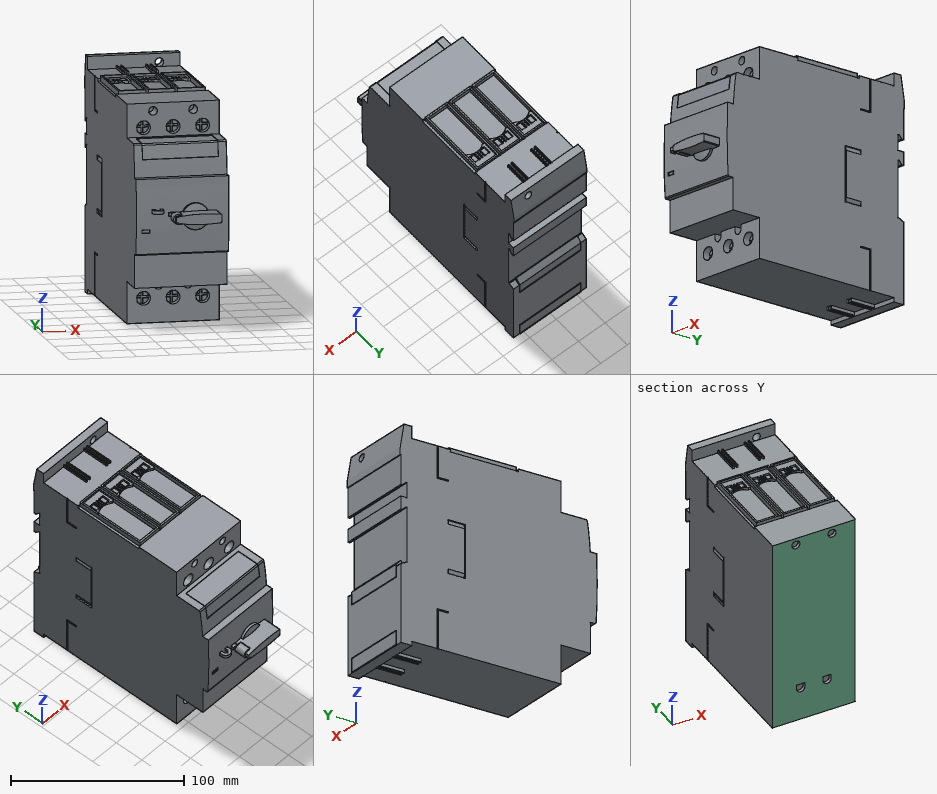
import cadquery as cq

WIDTH = 54.8
HEIGHT = 140.0
TOTAL_DEPTH = 149.3
HALF_WIDTH = WIDTH / 2
EMBED = 1.0
POLE_PITCH = 17.5
POLES = (-POLE_PITCH, 0, POLE_PITCH)

BACK_DEPTH = 0.5
FLANGE_TOP_BACK = 2.7
FLANGE_DEPTH = 8.1
BODY_BOTTOM = 2.7
BODY_TOP = 132.2
BODY_FRONT = 112.2
CENTRE_BOTTOM = 27.6
CENTRE_TOP = 112.3
LOWER_FRONT = 132.7
PANEL_BOTTOM = 47.5
PANEL_STRIP_BOTTOM = 87.6
PANEL_TOP = 92.5
PANEL_FRONT = 137.0
PANEL_LIP_FRONT = 136.6
PANEL_LIP = 0.7
PANEL_CREST, PANEL_CREST_Z = 137.35, 70.0
SLOPE_TOP_FRONT = 130.5
SLOPE_MIDDLE_FRONT = 131.7
SLOPE_BOTTOM_FRONT = 132.5
TOP_EDGE_CHAMFER = 0.8

RAIL_DEPTH = 4.9
TOP_PAD_LOW, TOP_PAD_HIGH = 119.8, 124.4
UPPER_HOOK_TIP, UPPER_HOOK_ROOT = 100.9, 103.2
LUG_TOP, LUG_TIP, LUG_ROOT = 93.5, 85.2, 87.5
HOOK_TIP_DEPTH, HOOK_ROOT_DEPTH = 2.0, 4.2
CLAW_BASE, CLAW_SHOULDER = 50.5, 52.3
PAD_WIDTH = 46.0
FOOT_PAD_FRONT = 1.5
FOOT_PAD_BOTTOM, FOOT_PAD_TOP = 0.3, 9.3
SLIDER_BOTTOM, SLIDER_TOP = 43.5, 51.4
SLIDER_TIP_DEPTH, SLIDER_TIP_TOP = 3.3, 54.8
SLIDER_FRONT, SLIDER_SHOULDER = 4.2, 54.0

BASE_FRONT = 26.0
BASE_STEP_FRONT = 33.5
COVER_JOINT = 106.3
TONGUE_FRONT = 45.0
TONGUE_BOTTOM, TONGUE_TOP = 52.7, 87.0
TONGUE_BEVEL = 2.8
TONGUE_BEVEL_DEPTH = 1.0
GROOVE_WIDTH = 0.6
GROOVE_DEPTH = 0.5

RIB_WIDTH = 1.1
RIB_BEVEL = 0.4
RIB_PAIR_CENTRE = 8.7
RIB_SPACING = 2.6
TOP_RIB_HEIGHT = 1.8
BOTTOM_RIB_HEIGHT = 2.4

FRAME_BACK, FRAME_FRONT = 35.0, 82.1
TROUGH_FRONT = 82.5
TROUGH_FLOOR = 130.6
FRAME_TOP = 134.0
FRAME_HALF_WIDTH = 7.9
OUTER_FRAME_EDGE = 25.75
OUTER_FRAME_INNER_EDGE = 9.35
FRAME_SIDE_WALL = 1.1
FRAME_BACK_WALL = 1.0
FRAME_FRONT_WALL = 1.3
FRAME_FLOOR = 131.0
SHELF_TOP = 132.6
SHELF_FRONT = 47.3
SHELF_ARCH_HALF = 5.6
SHELF_ARCH_RISE = 2.1
CLAMP_BACK, CLAMP_FRONT = 40.3, 45.3
CLAMP_WIDTH = 10.9
CLAMP_FLOOR = 131.3
CLAMP_STEP_TOP = 132.0
CLAMP_STEP_HALF = 2.3
CLAMP_RIB_INNER, CLAMP_RIB_OUTER = 0.4, 1.6

FLANGE_HOLE_X, FLANGE_HOLE_Z = 15.1, 134.75
SMALL_HOLE_DIAMETER = 5.0
UPPER_SMALL_HOLE_X, UPPER_SMALL_HOLE_Z = 11.9, 127.5
LOWER_SMALL_HOLE_X, LOWER_SMALL_HOLE_Z = 8.7, 24.8
UPPER_SCREW_Z, LOWER_SCREW_Z = 117.8, 17.3
SCREW_DIAMETER = 8.0
SCREW_SLOT_WIDTH = 1.3
SCREW_SLOT_DEPTH = 1.5
SCREW_HOLE_DEPTH = 4.6
SMALL_HOLE_DEPTH = 10.0

LABEL_WIDTH = 44.9
LABEL_BACK = 114.9
LABEL_BOTTOM = 103.0
LABEL_TOP_FRONT, LABEL_BOTTOM_FRONT = 130.3, 131.4
LABEL_RECESS = 0.3
LABEL_LEDGE = 0.6

BUTTON_X, BUTTON_Z = -21.65, 61.6
BUTTON_WIDTH, BUTTON_HEIGHT, BUTTON_DEPTH = 4.7, 1.9, 0.5
BUTTON_CLEARANCE = 1.0
EYE_X, EYE_Z = -14.9, 73.5
EYE_RADIUS, EYE_HOLE_RADIUS, EYE_THICKNESS = 3.3, 1.45, 2.1
EYE_CENTRE_DEPTH = 139.1
PANEL_ROOT = PANEL_FRONT - EMBED

KNOB_X, KNOB_Z = 7.4, 69.7
KNOB_RADIUS, KNOB_RIM, KNOB_CROWN = 7.9, 139.0, 139.8
DOME_RADIUS = 7.4
LEVER_Z = 70.0
LEVER_LEFT, LEVER_RIGHT = -13.6, 13.2
LEVER_HALF = 3.1
LEVER_LEFT_HALF, LEVER_LEFT_TIP_HALF, LEVER_LEFT_TAPER = 2.1, 1.5, 1.5
LEVER_RIGHT_HALF, LEVER_CORNER = 2.6, 0.5
HUB_X, HUB_RADIUS, HUB_FLAT = -4.5, 3.0, 2.0
HUB_BACK, HUB_FRONT = 139.6, 146.8
POINTER_LEFT, POINTER_RIGHT = -8.4, -5.0
POINTER_BOTTOM, POINTER_TOP, POINTER_FRONT = 70.4, 72.5, 139.3


def block(x_range, depth_range, z_range):
    """Box between two X, two depth and two Z values."""
    x0, x1 = x_range
    d0, d1 = depth_range
    z0, z1 = z_range
    return cq.Workplane("XY").box(x1 - x0, d1 - d0, z1 - z0, centered=False).translate((x0, -d1, z0))


def wide_block(width, depth_range, z_range):
    """Box centred on X = 0."""
    return block((-width / 2, width / 2), depth_range, z_range)


def side_prism(points, width):
    """Prism along X from (depth, z) corners, centred on X = 0."""
    corners = [(-depth, z) for depth, z in points]
    return cq.Workplane("YZ").polyline(corners).close().extrude(width / 2, both=True)


def face_plane(depth):
    """Plane at a depth, with local Y along Z and extrusion towards the operator."""
    return cq.Workplane("XZ", origin=(0, -depth, 0))


def make_body():
    """Full-width outline with rail hooks at the back and the stepped front."""
    slope_bulge = (-SLOPE_MIDDLE_FRONT, (CENTRE_TOP + PANEL_TOP) / 2)
    panel_bulge = (-PANEL_CREST, PANEL_CREST_Z)
    outline = (
        cq.Workplane("YZ")
        .moveTo(-FLANGE_TOP_BACK, HEIGHT)
        .lineTo(-FLANGE_DEPTH, HEIGHT)
        .lineTo(-FLANGE_DEPTH, BODY_TOP)
        .lineTo(-BODY_FRONT, BODY_TOP)
        .lineTo(-BODY_FRONT, CENTRE_TOP)
        .lineTo(-SLOPE_TOP_FRONT + TOP_EDGE_CHAMFER, CENTRE_TOP)
        .lineTo(-SLOPE_TOP_FRONT, CENTRE_TOP - TOP_EDGE_CHAMFER)
        .threePointArc(slope_bulge, (-SLOPE_BOTTOM_FRONT, PANEL_TOP))
        .lineTo(-PANEL_FRONT, PANEL_TOP)
        .lineTo(-PANEL_FRONT, PANEL_STRIP_BOTTOM)
        .threePointArc(panel_bulge, (-PANEL_LIP_FRONT, PANEL_BOTTOM + PANEL_LIP))
        .lineTo(-PANEL_LIP_FRONT + PANEL_LIP, PANEL_BOTTOM)
        .lineTo(-LOWER_FRONT, PANEL_BOTTOM)
        .lineTo(-LOWER_FRONT, CENTRE_BOTTOM)
        .lineTo(-BODY_FRONT, CENTRE_BOTTOM)
        .lineTo(-BODY_FRONT, BODY_BOTTOM)
        .lineTo(-FLANGE_DEPTH, BODY_BOTTOM)
        .lineTo(-FLANGE_DEPTH, 0)
        .lineTo(-BACK_DEPTH, 0)
        .lineTo(-BACK_DEPTH, CLAW_BASE)
        .lineTo(-HOOK_ROOT_DEPTH, CLAW_SHOULDER)
        .lineTo(-RAIL_DEPTH, CLAW_SHOULDER)
        .lineTo(-RAIL_DEPTH, LUG_ROOT)
        .lineTo(-HOOK_ROOT_DEPTH, LUG_ROOT)
        .lineTo(-HOOK_TIP_DEPTH, LUG_TIP)
        .lineTo(-BACK_DEPTH, LUG_TIP)
        .lineTo(-BACK_DEPTH, LUG_TOP)
        .lineTo(-RAIL_DEPTH, LUG_TOP)
        .lineTo(-RAIL_DEPTH, UPPER_HOOK_ROOT)
        .lineTo(-HOOK_ROOT_DEPTH, UPPER_HOOK_ROOT)
        .lineTo(-HOOK_TIP_DEPTH, UPPER_HOOK_TIP)
        .lineTo(-BACK_DEPTH, UPPER_HOOK_TIP)
        .lineTo(-BACK_DEPTH, TOP_PAD_LOW)
        .lineTo(0, TOP_PAD_LOW)
        .lineTo(0, TOP_PAD_HIGH)
        .close()
    )
    return outline.extrude(HALF_WIDTH, both=True)


def make_rail_slider():
    """Foot pad and spring slider whose tip grips the lower rail edge."""
    foot_pad = wide_block(PAD_WIDTH, (0, FOOT_PAD_FRONT), (FOOT_PAD_BOTTOM, FOOT_PAD_TOP))
    slider_outline = [
        (0, SLIDER_BOTTOM),
        (0, SLIDER_TOP),
        (SLIDER_TIP_DEPTH, SLIDER_TIP_TOP),
        (SLIDER_FRONT, SLIDER_SHOULDER),
        (SLIDER_FRONT, SLIDER_BOTTOM),
    ]
    return foot_pad.union(side_prism(slider_outline, PAD_WIDTH))


def make_barrier_rib(x, root, tip):
    """Rib centred on x from root to tip height, bevelled along both tip edges."""
    outward = 1 if tip > root else -1
    bevel_start = tip - outward * RIB_BEVEL
    half = RIB_WIDTH / 2
    corners = [
        (x - half, root - outward * EMBED),
        (x - half, bevel_start),
        (x - half + RIB_BEVEL, tip),
        (x + half - RIB_BEVEL, tip),
        (x + half, bevel_start),
        (x + half, root - outward * EMBED),
    ]
    return face_plane(FLANGE_DEPTH).polyline(corners).close().extrude(BASE_FRONT - FLANGE_DEPTH)


def make_barrier_ribs():
    """Pairs of ribs between the poles, above and below the base."""
    ribs = cq.Workplane("XY")
    for pair_x in (-RIB_PAIR_CENTRE, RIB_PAIR_CENTRE):
        for x in (pair_x - RIB_SPACING / 2, pair_x + RIB_SPACING / 2):
            ribs = ribs.union(make_barrier_rib(x, BODY_TOP, BODY_TOP + TOP_RIB_HEIGHT))
            ribs = ribs.union(make_barrier_rib(x, BODY_BOTTOM, BODY_BOTTOM - BOTTOM_RIB_HEIGHT))
    return ribs


def make_joint_grooves():
    """Joint lines on both sides, with bevelled gaps above and below the base tongue."""
    low = (CENTRE_BOTTOM, CENTRE_BOTTOM + GROOVE_WIDTH)
    high = (CENTRE_TOP - GROOVE_WIDTH, CENTRE_TOP)
    upright = (BASE_FRONT, BASE_FRONT + GROOVE_WIDTH)
    grooves = cq.Workplane("XY")
    inner = HALF_WIDTH - GROOVE_DEPTH
    for x_range in ((-HALF_WIDTH, -inner), (inner, HALF_WIDTH)):
        grooves = grooves.union(block(x_range, upright, (BODY_BOTTOM, low[1])))
        grooves = grooves.union(block(x_range, upright, (high[0], BODY_TOP)))
        for z_range in (low, high):
            grooves = grooves.union(block(x_range, (BASE_FRONT, BASE_STEP_FRONT), z_range))
        tongue_gap = (TONGUE_FRONT, TONGUE_FRONT + GROOVE_WIDTH)
        grooves = grooves.union(block(x_range, tongue_gap, (TONGUE_BOTTOM, TONGUE_TOP)))
    bevel_plane = face_plane(BASE_STEP_FRONT)
    for side in (-1, 1):
        deep = side * (HALF_WIDTH - TONGUE_BEVEL_DEPTH)
        edge = side * HALF_WIDTH
        for wall, inward in ((TONGUE_TOP, -1), (TONGUE_BOTTOM, 1)):
            corners = [(edge, wall), (deep, wall), (edge, wall + inward * TONGUE_BEVEL)]
            length = TONGUE_FRONT - BASE_STEP_FRONT
            grooves = grooves.union(bevel_plane.polyline(corners).close().extrude(length))
    return grooves


def make_terminal_frame(x_range, pole_x):
    """Open frame with an arched shelf at the back and a clamp sunk into it."""
    frame = block(x_range, (FRAME_BACK, FRAME_FRONT), (TROUGH_FLOOR - EMBED, FRAME_TOP))
    inside = (x_range[0] + FRAME_SIDE_WALL, x_range[1] - FRAME_SIDE_WALL)
    inside_back = FRAME_BACK + FRAME_BACK_WALL
    opening = block(inside, (inside_back, FRAME_FRONT - FRAME_FRONT_WALL), (FRAME_FLOOR, FRAME_TOP))
    middle = (inside[0] + inside[1]) / 2
    shelf = (
        cq.Workplane("XY", origin=(0, 0, FRAME_FLOOR))
        .moveTo(inside[0], -inside_back)
        .lineTo(inside[0], -SHELF_FRONT)
        .lineTo(middle - SHELF_ARCH_HALF, -SHELF_FRONT)
        .threePointArc((middle, -SHELF_FRONT + SHELF_ARCH_RISE), (middle + SHELF_ARCH_HALF, -SHELF_FRONT))
        .lineTo(inside[1], -SHELF_FRONT)
        .lineTo(inside[1], -inside_back)
        .close()
        .extrude(SHELF_TOP - FRAME_FLOOR)
    )
    clamp_x = (pole_x - CLAMP_WIDTH / 2, pole_x + CLAMP_WIDTH / 2)
    clamp_depths = (CLAMP_BACK, CLAMP_FRONT)
    frame = frame.cut(opening.cut(shelf))
    frame = frame.cut(block(clamp_x, clamp_depths, (CLAMP_FLOOR, SHELF_TOP)))
    step_x = (pole_x - CLAMP_STEP_HALF, pole_x + CLAMP_STEP_HALF)
    frame = frame.union(block(step_x, clamp_depths, (CLAMP_FLOOR, CLAMP_STEP_TOP)))
    left_rib = (pole_x - CLAMP_RIB_OUTER, pole_x - CLAMP_RIB_INNER)
    right_rib = (pole_x + CLAMP_RIB_INNER, pole_x + CLAMP_RIB_OUTER)
    for rib_x in (left_rib, right_rib):
        frame = frame.union(block(rib_x, clamp_depths, (CLAMP_STEP_TOP, SHELF_TOP)))
    return frame


def add_terminal_frames(body):
    """Sinks a trough across the top face and stands one frame per pole in it."""
    body = body.cut(wide_block(WIDTH, (FRAME_BACK, TROUGH_FRONT), (TROUGH_FLOOR, BODY_TOP)))
    frame_spans = (
        (-OUTER_FRAME_EDGE, -OUTER_FRAME_INNER_EDGE),
        (-FRAME_HALF_WIDTH, FRAME_HALF_WIDTH),
        (OUTER_FRAME_INNER_EDGE, OUTER_FRAME_EDGE),
    )
    for x_range, pole_x in zip(frame_spans, POLES):
        body = body.union(make_terminal_frame(x_range, pole_x))
    return body


def make_screw_hole(x, z):
    """Access hole that leaves a cross-slotted screw head at its floor."""
    slot_floor = BODY_FRONT - SCREW_HOLE_DEPTH - SCREW_SLOT_DEPTH
    head_plane = face_plane(slot_floor).center(x, z)
    head = head_plane.circle(SCREW_DIAMETER / 2).extrude(SCREW_SLOT_DEPTH)
    level_slot = head_plane.rect(SCREW_DIAMETER, SCREW_SLOT_WIDTH).extrude(SCREW_SLOT_DEPTH)
    upright_slot = head_plane.rect(SCREW_SLOT_WIDTH, SCREW_DIAMETER).extrude(SCREW_SLOT_DEPTH)
    access = face_plane(BODY_FRONT - SCREW_HOLE_DEPTH).center(x, z)
    hole = access.circle(SCREW_DIAMETER / 2).extrude(SCREW_HOLE_DEPTH)
    return hole.union(level_slot.union(upright_slot).intersect(head))


def cut_holes(body):
    """Flange hole, test holes and screw access holes."""
    radius = SMALL_HOLE_DIAMETER / 2
    body = body.cut(face_plane(0).center(FLANGE_HOLE_X, FLANGE_HOLE_Z).circle(radius).extrude(FLANGE_DEPTH))
    floor = face_plane(BODY_FRONT - SMALL_HOLE_DEPTH)
    for side in (-1, 1):
        upper = floor.center(side * UPPER_SMALL_HOLE_X, UPPER_SMALL_HOLE_Z)
        body = body.cut(upper.circle(radius).extrude(SMALL_HOLE_DEPTH))
        x = side * LOWER_SMALL_HOLE_X
        lower = floor.center(x, LOWER_SMALL_HOLE_Z)
        body = body.cut(lower.circle(radius).extrude(SMALL_HOLE_DEPTH))
        depths = (BODY_FRONT - SMALL_HOLE_DEPTH, BODY_FRONT)
        body = body.cut(block((x - radius, x + radius), depths, (LOWER_SMALL_HOLE_Z, CENTRE_BOTTOM)))
    for x in POLES:
        for z in (UPPER_SCREW_Z, LOWER_SCREW_Z):
            body = body.cut(make_screw_hole(x, z))
    return body


def make_label_recess():
    """Space in front of and above the flat label plate."""
    plate_top = CENTRE_TOP - LABEL_RECESS
    outline = [
        (LABEL_BACK, CENTRE_TOP),
        (LABEL_BACK, plate_top),
        (LABEL_TOP_FRONT - TOP_EDGE_CHAMFER, plate_top),
        (LABEL_TOP_FRONT, plate_top - TOP_EDGE_CHAMFER),
        (LABEL_BOTTOM_FRONT, LABEL_BOTTOM),
        (LOWER_FRONT, LABEL_BOTTOM - LABEL_LEDGE),
        (LOWER_FRONT, CENTRE_TOP),
    ]
    return side_prism(outline, LABEL_WIDTH)


def make_button_recess():
    """Shallow rectangular window low on the front panel."""
    plane = face_plane(PANEL_FRONT - BUTTON_DEPTH).center(BUTTON_X, BUTTON_Z)
    return plane.rect(BUTTON_WIDTH, BUTTON_HEIGHT).extrude(BUTTON_DEPTH + BUTTON_CLEARANCE)


def eye_outline(radius, bottom):
    """U-shaped prism that starts inside the panel."""
    return (
        cq.Workplane("XY", origin=(EYE_X, 0, bottom))
        .moveTo(-radius, -PANEL_ROOT)
        .lineTo(-radius, -EYE_CENTRE_DEPTH)
        .threePointArc((0, -EYE_CENTRE_DEPTH - radius), (radius, -EYE_CENTRE_DEPTH))
        .lineTo(radius, -PANEL_ROOT)
        .close()
        .extrude(EYE_THICKNESS)
    )


def make_eye():
    """Sealing eye that stands out from the panel."""
    bottom = EYE_Z - EYE_THICKNESS / 2
    return eye_outline(EYE_RADIUS, bottom).cut(eye_outline(EYE_HOLE_RADIUS, bottom))


def make_handle():
    """Domed knob with a lens-shaped lever, a round-backed hub at its end and a pointer."""
    knob = (
        cq.Workplane("XY")
        .moveTo(0, -PANEL_ROOT)
        .lineTo(KNOB_RADIUS, -PANEL_ROOT)
        .lineTo(KNOB_RADIUS, -KNOB_RIM)
        .lineTo(DOME_RADIUS, -KNOB_RIM)
        .threePointArc((DOME_RADIUS / 2, -KNOB_CROWN + (KNOB_CROWN - KNOB_RIM) / 4), (0, -KNOB_CROWN))
        .close()
        .revolve(360, (0, 0), (0, 1))
        .translate((KNOB_X, 0, KNOB_Z))
    )
    left = LEVER_LEFT + LEVER_LEFT_TAPER
    right = LEVER_RIGHT - LEVER_CORNER
    lever = (
        face_plane(PANEL_ROOT)
        .center(KNOB_X, LEVER_Z)
        .moveTo(LEVER_LEFT, -LEVER_LEFT_TIP_HALF)
        .lineTo(left, -LEVER_LEFT_HALF)
        .threePointArc((0, -LEVER_HALF), (right, -LEVER_RIGHT_HALF))
        .lineTo(LEVER_RIGHT, -LEVER_RIGHT_HALF + LEVER_CORNER)
        .lineTo(LEVER_RIGHT, LEVER_RIGHT_HALF - LEVER_CORNER)
        .lineTo(right, LEVER_RIGHT_HALF)
        .threePointArc((0, LEVER_HALF), (left, LEVER_LEFT_HALF))
        .lineTo(LEVER_LEFT, LEVER_LEFT_TIP_HALF)
        .close()
        .extrude(TOTAL_DEPTH - PANEL_ROOT)
    )
    hub_plane = face_plane(HUB_BACK).center(HUB_X, LEVER_Z)
    hub = (
        hub_plane.moveTo(HUB_FLAT, -HUB_RADIUS)
        .lineTo(HUB_FLAT, HUB_RADIUS)
        .lineTo(0, HUB_RADIUS)
        .threePointArc((-HUB_RADIUS, 0), (0, -HUB_RADIUS))
        .close()
        .extrude(HUB_FRONT - HUB_BACK)
    )
    pointer = block((POINTER_LEFT, POINTER_RIGHT), (PANEL_ROOT, POINTER_FRONT), (POINTER_BOTTOM, POINTER_TOP))
    return knob.union(lever).union(hub).union(pointer)


def split_at_joints(body):
    """One solid whose faces stay divided where base, housing and cover meet."""
    base_zone = wide_block(WIDTH, (0, BASE_FRONT), (0, HEIGHT))
    base_zone = base_zone.union(wide_block(WIDTH, (0, BASE_STEP_FRONT), (CENTRE_BOTTOM, CENTRE_TOP)))
    base_zone = base_zone.union(wide_block(WIDTH, (0, TONGUE_FRONT), (TONGUE_BOTTOM, TONGUE_TOP)))
    cover_zone = wide_block(WIDTH, (COVER_JOINT, TOTAL_DEPTH), (0, HEIGHT))
    base = body.intersect(base_zone)
    cover = body.intersect(cover_zone)
    housing = body.cut(base_zone).cut(cover_zone)
    return base.union(housing, clean=False).union(cover, clean=False)


body = make_body()
body = body.union(make_rail_slider())
body = body.union(make_barrier_ribs())
body = body.cut(make_joint_grooves())
body = add_terminal_frames(body)
body = cut_holes(body)
body = body.cut(make_label_recess())
body = body.cut(make_button_recess())
body = body.union(make_eye())
body = body.union(make_handle())
result = split_at_joints(body)